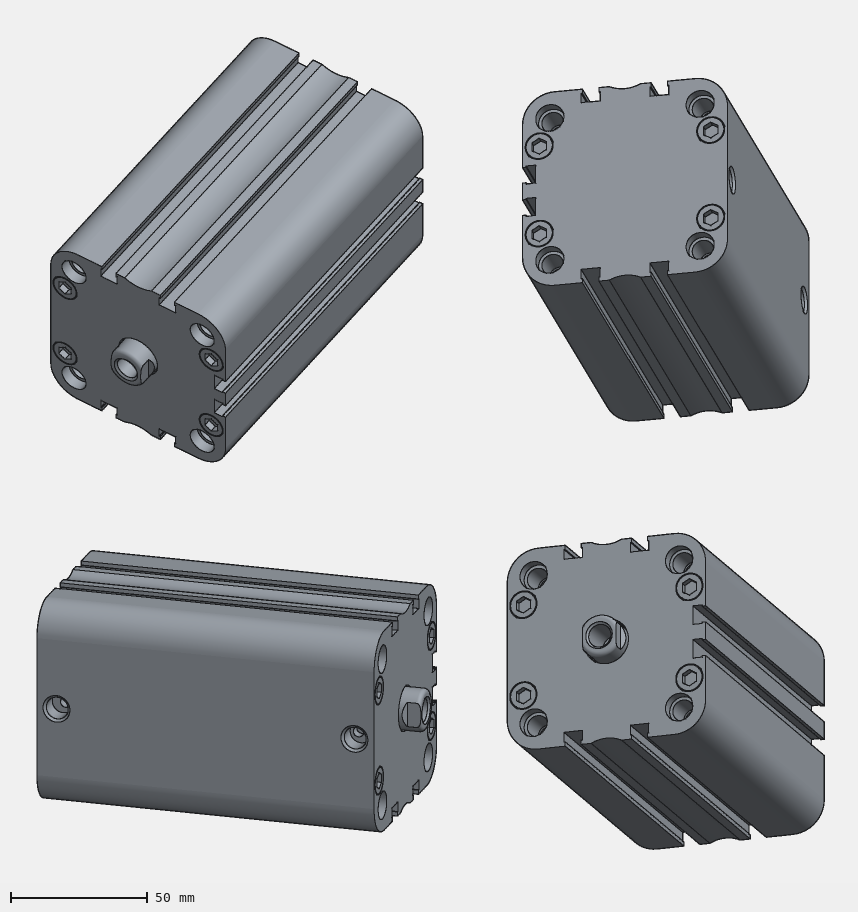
import cadquery as cq


side = 77.0
half_side = side / 2
overall_length = 137.0
rod_protrusion = 8.0
body_length = overall_length - rod_protrusion
corner_radius = 12.0
front_y = 0.0
back_y = front_y + body_length
tip_y = front_y - rod_protrusion

channel_width = 11.8
channel_depth = 1.4

slot_neck_width = 6.2
slot_width = 7.1
slot_lip = 1.6
slot_depth = 5.3
slot_offset = 12.9
side_slot_lip = 1.4
side_slot_depth = 5.0
side_slot_offset = 6.5

mount_offset = 28.2
mount_bore_diameter = 10.5
mount_bore_depth = 4.5
mount_thread_diameter = 8.1
mount_thread_depth = 16.5
mount_through_diameter = 6.7

screw_offset_x = 32.2
screw_offset_z = 17.4
screw_bore_diameter = 10.5
screw_head_diameter = 9.9
screw_gap_depth = 4.1
hex_corner_diameter = 6.3
hex_depth = 2.7

port_inset = 7.5
port_chamfer_diameter = 10.3
port_diameter = 8.4
port_depth = 8.2
feed_diameter = 4.0
feed_depth = 4.1
feed_shift = 1.0

rod_diameter = 16.0
rod_hole_diameter = 17.1
rod_gap_depth = 4.1
rod_tip_fillet = 1.6
flat_width = 13.0
flat_end = 5.2
flat_slope_end = 6.7
socket_diameter = 8.6
socket_mouth_diameter = 10.3
socket_depth = 16.5


def plane_at(y):
    """Sketch plane at the given y: local x is X, local y is Z, normal toward -Y."""
    return cq.Workplane(cq.Plane(origin=(0, y, 0), xDir=(1, 0, 0), normal=(0, -1, 0)))


def cylinder(y, diameter, length, centres=((0, 0),)):
    """Cylinders along +Y starting at y."""
    return plane_at(y).pushPoints(centres).circle(diameter / 2).extrude(-length)


def cone(y, mouth_diameter, end_diameter):
    """A 45 degree countersink centred on the rod axis, narrowing toward +Y."""
    depth = (mouth_diameter - end_diameter) / 2
    mouth = plane_at(y).circle(mouth_diameter / 2)
    return mouth.workplane(offset=-depth).circle(end_diameter / 2).loft()


def four_corners(x, z):
    return [(sx * x, sz * z) for sx in (-1, 1) for sz in (-1, 1)]


def t_slot(offset, lip, depth, angle):
    """T-slot cutter in the top face, turned about the rod axis by the given angle."""
    profile = (
        plane_at(front_y)
        .center(offset, half_side)
        .polyline([
            (-slot_neck_width / 2, 0),
            (-slot_neck_width / 2, -lip),
            (-slot_width / 2, -lip),
            (-slot_width / 2, -depth),
            (slot_width / 2, -depth),
            (slot_width / 2, -lip),
            (slot_neck_width / 2, -lip),
            (slot_neck_width / 2, 0),
        ])
        .close()
    )
    return profile.extrude(-body_length).rotate((0, 0, 0), (0, 1, 0), angle)


def make_body():
    body = plane_at(front_y).rect(side, side).extrude(-body_length).edges("|Y").fillet(corner_radius)
    for angle in (0, 180):
        channel = (
            plane_at(front_y)
            .moveTo(-channel_width / 2, half_side)
            .threePointArc((0, half_side - channel_depth), (channel_width / 2, half_side))
            .close()
            .extrude(-body_length)
        )
        body = body.cut(channel.rotate((0, 0, 0), (0, 1, 0), angle))
        for offset in (-slot_offset, slot_offset):
            body = body.cut(t_slot(offset, slot_lip, slot_depth, angle))
    for offset in (-side_slot_offset, side_slot_offset):
        body = body.cut(t_slot(offset, side_slot_lip, side_slot_depth, 90))
    return body


def cut_mounting_holes(body):
    """Through holes, with thread and counterbore at both ends."""
    centres = four_corners(mount_offset, mount_offset)
    body = body.cut(cylinder(front_y, mount_through_diameter, body_length, centres))
    steps = [(mount_thread_diameter, mount_thread_depth), (mount_bore_diameter, mount_bore_depth)]
    for diameter, depth in steps:
        body = body.cut(cylinder(front_y, diameter, depth, centres))
        body = body.cut(cylinder(back_y - depth, diameter, depth, centres))
    return body


def cut_cover_screws(body):
    """Ring gap round each screw head and a hexagon socket in it, at both ends."""
    centres = four_corners(screw_offset_x, screw_offset_z)
    for gap_y, hex_y in ((front_y, front_y), (back_y - screw_gap_depth, back_y - hex_depth)):
        gap = cylinder(gap_y, screw_bore_diameter, screw_gap_depth, centres)
        gap = gap.cut(cylinder(gap_y, screw_head_diameter, screw_gap_depth, centres))
        sockets = plane_at(hex_y)
        for x, z in centres:
            body = body.cut(
                sockets.center(x, z)
                .transformed(rotate=(0, 0, 90))
                .polygon(6, hex_corner_diameter)
                .extrude(-hex_depth)
            )
        body = body.cut(gap)
    return body


def cut_ports(body):
    """Air port near each end, with its feed hole shifted toward the middle of the body."""
    chamfer = (port_chamfer_diameter - port_diameter) / 2
    for y, shift in ((front_y + port_inset, feed_shift), (back_y - port_inset, -feed_shift)):
        side_plane = cq.Workplane(cq.Plane(origin=(-half_side, y, 0), xDir=(0, 1, 0), normal=(1, 0, 0)))
        port = side_plane.circle(port_diameter / 2).extrude(port_depth)
        mouth = (
            side_plane.circle(port_chamfer_diameter / 2)
            .workplane(offset=chamfer)
            .circle(port_diameter / 2)
            .loft()
        )
        feed = side_plane.center(shift, 0).circle(feed_diameter / 2).extrude(port_depth + feed_depth)
        body = body.cut(port).cut(mouth).cut(feed)
    return body


def make_rod():
    """Rod end with a rounded tip and two wrench flats with sloped run-outs."""
    rod = cylinder(tip_y, rod_diameter, rod_protrusion + rod_gap_depth)
    rod = rod.faces("<Y").edges().fillet(rod_tip_fillet)
    flat_slope = flat_slope_end - flat_end
    for side_sign in (-1, 1):
        flat = (
            cq.Workplane("XY")
            .polyline([
                (side_sign * flat_width / 2, tip_y),
                (side_sign * flat_width / 2, tip_y + flat_end),
                (side_sign * (flat_width / 2 + flat_slope), tip_y + flat_slope_end),
                (side_sign * rod_diameter, tip_y + flat_slope_end),
                (side_sign * rod_diameter, tip_y),
            ])
            .close()
            .extrude(rod_diameter / 2, both=True)
        )
        rod = rod.cut(flat)
    return rod


body = make_body()
body = cut_mounting_holes(body)
body = cut_cover_screws(body)
body = cut_ports(body)
body = body.cut(cylinder(front_y, rod_hole_diameter, rod_gap_depth))

result = body.union(make_rod())
result = result.cut(cylinder(tip_y, socket_diameter, socket_depth))
result = result.cut(cone(tip_y, socket_mouth_diameter, socket_diameter))